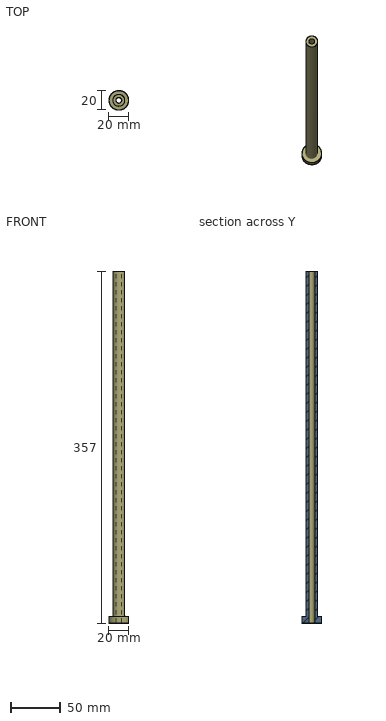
import cadquery as cq

HEAD_DIAMETER = 20.0
HEAD_HEIGHT = 7.0
TUBE_DIAMETER = 12.0
BORE_DIAMETER = 5.5
TOTAL_LENGTH = 357.0
ROOT_FILLET_RADIUS = 0.5


def half_profile():
    """Radial section in the XZ plane, from the bore wall out to the head rim."""
    bore_radius = BORE_DIAMETER / 2
    tube_radius = TUBE_DIAMETER / 2
    head_radius = HEAD_DIAMETER / 2
    fillet_outer_radius = tube_radius + ROOT_FILLET_RADIUS
    fillet_top = HEAD_HEIGHT + ROOT_FILLET_RADIUS
    return (
        cq.Workplane("XZ")
        .moveTo(bore_radius, 0)
        .lineTo(head_radius, 0)
        .lineTo(head_radius, HEAD_HEIGHT)
        .lineTo(fillet_outer_radius, HEAD_HEIGHT)
        .radiusArc((tube_radius, fillet_top), ROOT_FILLET_RADIUS)
        .lineTo(tube_radius, TOTAL_LENGTH)
        .lineTo(bore_radius, TOTAL_LENGTH)
        .close()
    )


result = half_profile().revolve(360, (0, 0, 0), (0, 1, 0))